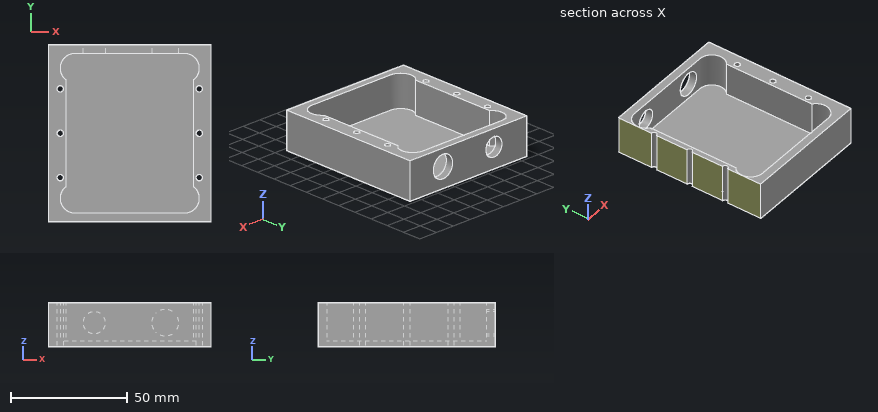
import cadquery as cq

WIDTH = 69.85
LENGTH = 76.2
HEIGHT = 19.05

END_WALL = 3.81
SIDE_WALL = 7.62
FLOOR = 2.54
CORNER_RADIUS = 6.35
CORNER_WALL = 5.08

SCREW_DIAMETER = 2.64
SCREW_EDGE_DISTANCE = 5.08
SCREW_PITCH = 19.05

SMALL_PORT_DIAMETER = 9.53
LARGE_PORT_DIAMETER = 11.51
PORT_OFFSET = 15.24
PORT_Z = 10.414

POCKET_DEPTH = HEIGHT - FLOOR
POCKET_WIDTH = WIDTH - 2 * SIDE_WALL
POCKET_LENGTH = LENGTH - 2 * END_WALL
CORNER_X = WIDTH / 2 - CORNER_WALL - CORNER_RADIUS
CORNER_Y = POCKET_LENGTH / 2 - CORNER_RADIUS
SCREW_X = WIDTH / 2 - SCREW_EDGE_DISTANCE


def pocket():
    """Pocket volume: a cross-shaped core with a round relief at each corner."""
    floor_plane = cq.Workplane("XY").workplane(offset=FLOOR)
    middle = floor_plane.rect(POCKET_WIDTH, 2 * CORNER_Y).extrude(POCKET_DEPTH)
    ends = floor_plane.rect(2 * CORNER_X, POCKET_LENGTH).extrude(POCKET_DEPTH)
    reliefs = (
        floor_plane.rect(2 * CORNER_X, 2 * CORNER_Y, forConstruction=True)
        .vertices()
        .circle(CORNER_RADIUS)
        .extrude(POCKET_DEPTH)
    )
    return middle.union(ends).union(reliefs)


def screw_holes():
    """Two rows of three holes through the full height."""
    places = [(x, row * SCREW_PITCH) for x in (-SCREW_X, SCREW_X) for row in (-1, 0, 1)]
    return cq.Workplane("XY").pushPoints(places).circle(SCREW_DIAMETER / 2).extrude(HEIGHT)


def port(x, diameter):
    """Round hole along Y, from the pocket out through the +Y wall."""
    outer_face = cq.Workplane("XZ", origin=(0, LENGTH / 2, 0))
    return outer_face.center(x, PORT_Z).circle(diameter / 2).extrude(END_WALL)


block = cq.Workplane("XY").box(WIDTH, LENGTH, HEIGHT, centered=(True, True, False))
result = (
    block.cut(pocket())
    .cut(screw_holes())
    .cut(port(-PORT_OFFSET, SMALL_PORT_DIAMETER))
    .cut(port(PORT_OFFSET, LARGE_PORT_DIAMETER))
)